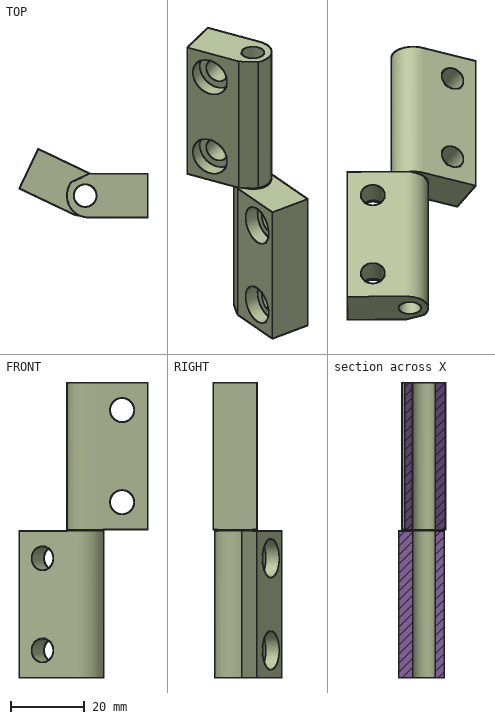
import cadquery as cq
import math

total_height = 80.3
washer_gap = 0.3
leaf_height = (total_height - washer_gap) / 2
lower_leaf_swing = 25.5

leaf_thickness = 12.0
leaf_reach = 17.0
knuckle_radius = leaf_thickness / 2
knuckle_center_x = 1.0
bevel_start_x = 1.1
bevel_angle = 25.0

upper_bore_diameter = 6.2
lower_bore_diameter = 6.1
screw_hole_diameter = 6.5
counterbore_diameter = 10.5
counterbore_depth = 4.0
screw_hole_x = 10.0
screw_hole_spacing = 25.05

washer_diameter = 9.8
washer_bore_diameter = 6.1


def bevel_end():
    """Point where the back bevel runs into the round knuckle."""
    dx = -math.cos(math.radians(bevel_angle))
    dy = -math.sin(math.radians(bevel_angle))
    offset_x = bevel_start_x - knuckle_center_x
    offset_y = leaf_thickness / 2
    along = offset_x * dx + offset_y * dy
    excess = offset_x**2 + offset_y**2 - knuckle_radius**2
    distance = -along + math.sqrt(along**2 - excess)
    return bevel_start_x + distance * dx, offset_y + distance * dy


def make_leaf(bore_diameter):
    """Leaf reaching along +X, standing on Z = 0, with its bevel on the back."""
    half_thickness = leaf_thickness / 2
    leaf = (
        cq.Workplane("XY")
        .moveTo(leaf_reach, -half_thickness)
        .lineTo(leaf_reach, half_thickness)
        .lineTo(bevel_start_x, half_thickness)
        .lineTo(*bevel_end())
        .threePointArc(
            (knuckle_center_x - knuckle_radius, 0),
            (knuckle_center_x, -half_thickness),
        )
        .close()
        .extrude(leaf_height)
    )
    pin_bore = cq.Workplane("XY").circle(bore_diameter / 2).extrude(leaf_height)
    return (
        leaf.cut(pin_bore)
        .copyWorkplane(cq.Workplane("ZX", origin=(screw_hole_x, half_thickness, leaf_height / 2)))
        .rarray(screw_hole_spacing, 0.8, 2, 1)
        .cboreHole(screw_hole_diameter, counterbore_diameter, counterbore_depth)
    )


def make_washer():
    """Flat ring filling the gap between the two knuckles."""
    return (
        cq.Workplane("XY")
        .circle(washer_diameter / 2)
        .circle(washer_bore_diameter / 2)
        .extrude(washer_gap)
    )


lower_leaf = (
    make_leaf(lower_bore_diameter)
    .mirror("YZ")
    .rotate((0, 0, 0), (0, 0, 1), -lower_leaf_swing)
)
washer = make_washer().translate((0, 0, leaf_height))
upper_leaf = make_leaf(upper_bore_diameter).translate((0, 0, leaf_height + washer_gap))

result = cq.Compound.makeCompound([lower_leaf.val(), washer.val(), upper_leaf.val()])